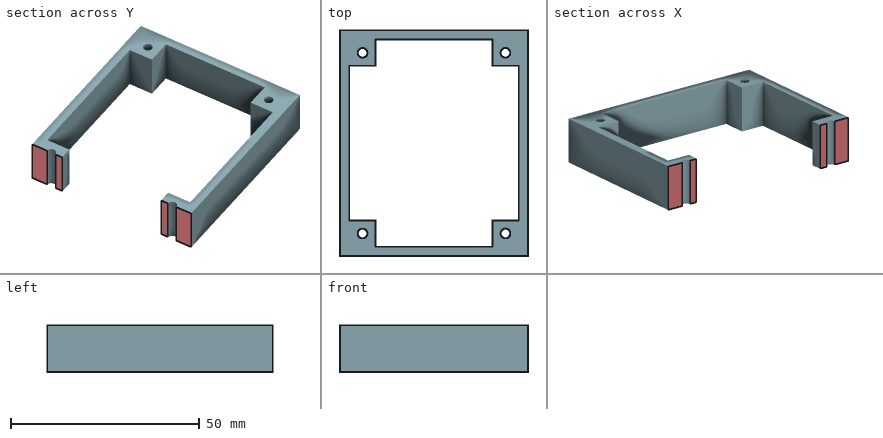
import cadquery as cq

width = 50.0
length = 60
height = 12.5

wall = 2.5
post_side = 9.5
hole_diameter = 2.5
hole_inset = 6


def centred_block(size_x, size_y):
    return cq.Workplane("XY").rect(size_x, size_y).extrude(height)


opening_between_end_posts = centred_block(width - 2 * post_side, length - 2 * wall)
opening_between_side_posts = centred_block(width - 2 * wall, length - 2 * post_side)
opening = opening_between_end_posts.union(opening_between_side_posts)

frame = centred_block(width, length).cut(opening)

holes = (
    cq.Workplane("XY")
    .rect(width - 2 * hole_inset, length - 2 * hole_inset, forConstruction=True)
    .vertices()
    .circle(hole_diameter / 2)
    .extrude(height)
)

result = frame.cut(holes)